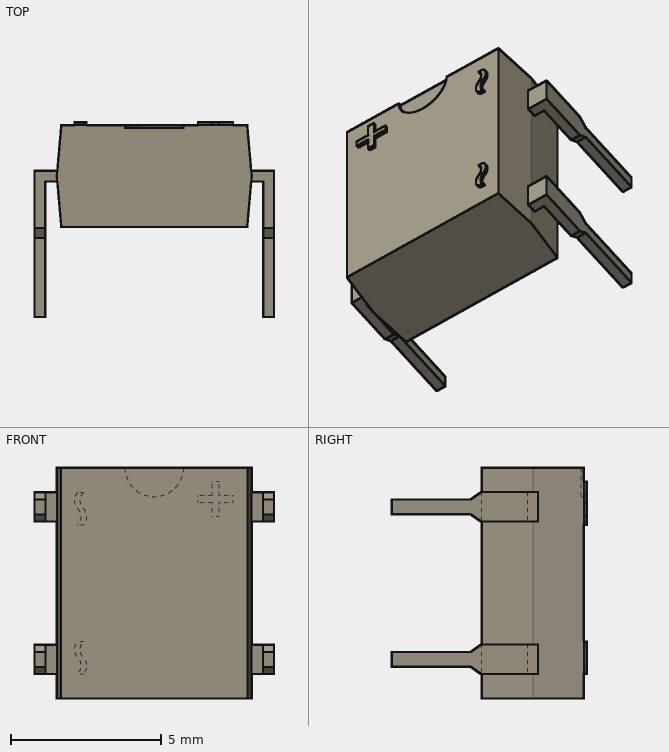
import cadquery as cq

BODY_WIDTH_RIDGE = 6.5
BODY_WIDTH_FACE = 6.2
BODY_DEPTH = 3.4
BODY_HEIGHT = 7.7

NOTCH_RADIUS = 0.975
NOTCH_DEPTH = 0.1

LEAD_SPAN = 7.98
LEAD_PITCH = 5.08
LEAD_THICKNESS = 0.36
LEAD_WIDTH = 0.98
TIP_WIDTH = 0.5
TIP_REACH = 3.0
SHOULDER_CLEARANCE = 0.03
SHOULDER_LENGTH = 0.34
LEAD_EMBED = 0.2

MARK_HEIGHT = 0.1
PLUS_X = 2.04
PLUS_Z = 2.8
PLUS_SIZE = 1.17
PLUS_STROKE = 0.23
TILDE_X = -2.455
TILDE_Z = 2.48
TILDE_LENGTH = 1.08
TILDE_STROKE = 0.19
TILDE_BULGE = 0.11

BACK_Y = BODY_DEPTH / 2
FRONT_Y = -BODY_DEPTH / 2


def make_body():
    half_face = BODY_WIDTH_FACE / 2
    half_ridge = BODY_WIDTH_RIDGE / 2
    outline = [
        (-half_face, FRONT_Y),
        (half_face, FRONT_Y),
        (half_ridge, 0),
        (half_face, BACK_Y),
        (-half_face, BACK_Y),
        (-half_ridge, 0),
    ]
    return cq.Workplane("XY").polyline(outline).close().extrude(BODY_HEIGHT / 2, both=True)


def make_notch():
    return (
        cq.Workplane("XZ", origin=(0, BACK_Y, BODY_HEIGHT / 2))
        .circle(NOTCH_RADIUS)
        .extrude(NOTCH_DEPTH)
    )


def make_lead(side, z):
    """One bent lead; side is -1 or +1 along X, z is the height of its centre line."""
    outer_x = LEAD_SPAN / 2
    inner_x = outer_x - LEAD_THICKNESS
    root_x = BODY_WIDTH_RIDGE / 2 - LEAD_EMBED
    top_y = LEAD_THICKNESS / 2
    tip_y = FRONT_Y - TIP_REACH
    bend = [
        (root_x, top_y),
        (outer_x, top_y),
        (outer_x, tip_y),
        (inner_x, tip_y),
        (inner_x, -top_y),
        (root_x, -top_y),
    ]
    bent_strip = (
        cq.Workplane("XY")
        .polyline([(side * x, y) for x, y in bend])
        .close()
        .extrude(LEAD_WIDTH / 2, both=True)
    )

    shoulder_y = FRONT_Y - SHOULDER_CLEARANCE
    taper_end_y = shoulder_y - SHOULDER_LENGTH
    half_width = LEAD_WIDTH / 2
    half_tip = TIP_WIDTH / 2
    silhouette = [
        (top_y, half_width),
        (shoulder_y, half_width),
        (taper_end_y, half_tip),
        (tip_y, half_tip),
        (tip_y, -half_tip),
        (taper_end_y, -half_tip),
        (shoulder_y, -half_width),
        (top_y, -half_width),
    ]
    tapered_prism = cq.Workplane("YZ").polyline(silhouette).close().extrude(outer_x, both=True)
    return bent_strip.intersect(tapered_prism).translate((0, 0, z))


def mark_plane(x, z):
    """Plane on the +Y face, with local axes along X and Z; raised marks extrude by a negative length."""
    return cq.Workplane("XZ", origin=(x, BACK_Y, z))


def make_plus():
    upright = mark_plane(PLUS_X, PLUS_Z).rect(PLUS_STROKE, PLUS_SIZE).extrude(-MARK_HEIGHT)
    crossbar = mark_plane(PLUS_X, PLUS_Z).rect(PLUS_SIZE, PLUS_STROKE).extrude(-MARK_HEIGHT)
    return upright.union(crossbar)


def make_tilde(z):
    """An upright wave: the upper half bulges toward -X, the lower half toward +X."""
    left = -TILDE_STROKE / 2
    right = TILDE_STROKE / 2
    end = TILDE_LENGTH / 2
    crest = end / 2
    return (
        mark_plane(TILDE_X, z)
        .moveTo(left, -end)
        .threePointArc((left + TILDE_BULGE, -crest), (left, 0))
        .threePointArc((left - TILDE_BULGE, crest), (left, end))
        .lineTo(right, end)
        .threePointArc((right - TILDE_BULGE, crest), (right, 0))
        .threePointArc((right + TILDE_BULGE, -crest), (right, -end))
        .close()
        .extrude(-MARK_HEIGHT)
    )


result = make_body().cut(make_notch())
for lead_side in (-1, 1):
    for lead_z in (-LEAD_PITCH / 2, LEAD_PITCH / 2):
        result = result.union(make_lead(lead_side, lead_z))
result = result.union(make_plus())
for tilde_z in (-TILDE_Z, TILDE_Z):
    result = result.union(make_tilde(tilde_z))